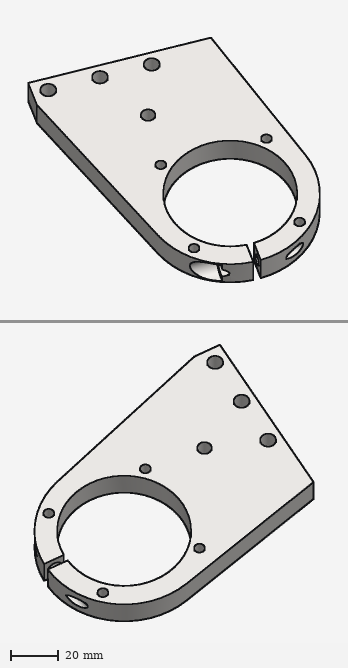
import cadquery as cq
import math

thickness = 12.7
left_edge_height = 81.4
bottom_edge_length = 12.4

length = 120.5
width = 102.1
ring_radius = 38.1
bore_diameter = 56.9
slit_width = 3.3
ring_x = length - math.sqrt(ring_radius**2 - (slit_width / 2) ** 2)
ring_y = width - ring_radius

ring_hole_diameter = 4.6
ring_hole_offset = 23.5
edge_hole_diameter = 6.8
edge_hole_x = 6.3
edge_hole_first_y = 7.0
edge_hole_pitch = 23.0
edge_hole_count = 3
middle_hole_diameter = 6.1
middle_hole_position = (31.8, 43.4)

screw_x = 115.5
clearance_diameter = 6.5
threaded_diameter = 5.1
head_diameter = 11.3
head_seat_y = 49.4


def tangent_point(corner, side):
    """Point where a line from the corner touches the ring; side is +1 above, -1 below."""
    dx = corner[0] - ring_x
    dy = corner[1] - ring_y
    half_angle = math.acos(ring_radius / math.hypot(dx, dy))
    angle = math.atan2(dy, dx) - side * half_angle
    return (ring_x + ring_radius * math.cos(angle), ring_y + ring_radius * math.sin(angle))


def plate():
    top_corner = (0, left_edge_height)
    bottom_corner = (bottom_edge_length, 0)
    return (
        cq.Workplane("XY")
        .lineTo(*bottom_corner)
        .lineTo(*tangent_point(bottom_corner, -1))
        .threePointArc((ring_x + ring_radius, ring_y), tangent_point(top_corner, 1))
        .lineTo(*top_corner)
        .close()
        .extrude(thickness)
    )


def through_holes(points, diameter):
    return cq.Workplane("XY").pushPoints(points).circle(diameter / 2).extrude(thickness)


def screw_bore(diameter, start_y, end_y):
    """Cylinder along the screw axis between two Y positions."""
    axis_start = cq.Vector(screw_x, start_y, thickness / 2)
    solid = cq.Solid.makeCylinder(diameter / 2, end_y - start_y, axis_start, cq.Vector(0, 1, 0))
    return cq.Workplane(solid)


ring_hole_points = [
    (ring_x + sx * ring_hole_offset, ring_y + sy * ring_hole_offset)
    for sx in (-1, 1)
    for sy in (-1, 1)
]
edge_hole_points = [
    (edge_hole_x, edge_hole_first_y + i * edge_hole_pitch) for i in range(edge_hole_count)
]
slit = (
    cq.Workplane("XY")
    .rect(ring_radius, slit_width)
    .extrude(thickness)
    .translate((ring_x + ring_radius / 2, ring_y, 0))
)

result = (
    plate()
    .cut(through_holes([(ring_x, ring_y)], bore_diameter))
    .cut(slit)
    .cut(through_holes(ring_hole_points, ring_hole_diameter))
    .cut(through_holes(edge_hole_points, edge_hole_diameter))
    .cut(through_holes([middle_hole_position], middle_hole_diameter))
    .cut(screw_bore(head_diameter, 0, head_seat_y))
    .cut(screw_bore(clearance_diameter, 0, ring_y))
    .cut(screw_bore(threaded_diameter, ring_y, width))
)